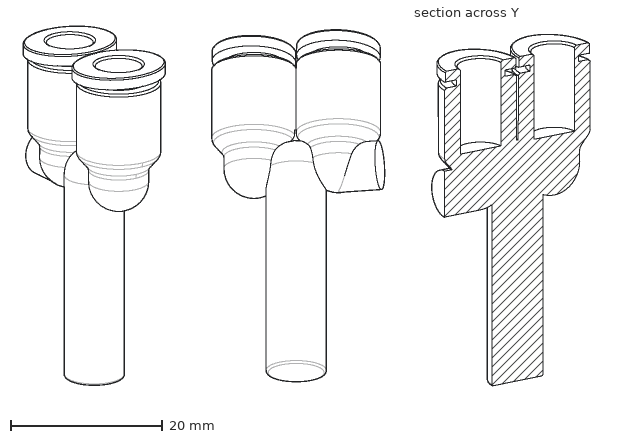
import cadquery as cq

socket_offset = 5.7
stem_radius = 4.0
stem_length = 28.25
stem_tip_round = 0.3

collar_top_z = 17.2
collar_height = 1.55
sleeve_height = 0.8
collar_bottom_z = collar_top_z - collar_height
body_top_z = collar_bottom_z - sleeve_height
body_bottom_z = 4.6
cone_height = 1.9
body_radius = 5.6
body_top_chamfer = 0.3
body_bottom_round = 1.0
neck_radius = 4.0
neck_top_z = body_bottom_z - cone_height
neck_top_round = 1.0
edge_search_margin = 0.1

plug_radius = 3.25
plug_length = body_radius

dome_center_z = neck_radius - plug_radius

web_thickness = 1.0
web_top_z = 5.55

collar_size_x = 11.0
collar_size_y = 13.0
collar_chamfer = 0.2
collar_sleeve_radius = 3.8
bore_radius = 3.1
bore_chamfer = 0.3
bore_depth = 12.0


def round_ring_edge(body, ring_z, round_radius):
    """Round the full circular edge of a turned body that lies at height ring_z."""
    slab = cq.selectors.BoxSelector(
        (-body_radius, -body_radius, ring_z - edge_search_margin),
        (body_radius, body_radius, ring_z + edge_search_margin),
    )
    return body.edges(slab).fillet(round_radius)


def make_body():
    """Socket body, cone and domed neck as one turned shape about Z."""
    profile = (
        cq.Workplane("XZ")
        .moveTo(0, dome_center_z - neck_radius)
        .radiusArc((neck_radius, dome_center_z), -neck_radius)
        .lineTo(neck_radius, neck_top_z)
        .lineTo(body_radius, body_bottom_z)
        .lineTo(body_radius, body_top_z - body_top_chamfer)
        .lineTo(body_radius - body_top_chamfer, body_top_z)
        .lineTo(0, body_top_z)
        .close()
    )
    body = profile.revolve(360, (0, 0, 0), (0, 1, 0))
    body = round_ring_edge(body, body_bottom_z, body_bottom_round)
    return round_ring_edge(body, neck_top_z, neck_top_round)


def make_collar():
    """Oval release collar standing on its round sleeve."""
    flange = (
        cq.Workplane("XY")
        .workplane(offset=collar_bottom_z)
        .ellipse(collar_size_x / 2, collar_size_y / 2)
        .extrude(collar_height)
        .faces(">Z").edges().chamfer(collar_chamfer)
    )
    sleeve = (
        cq.Workplane("XY")
        .workplane(offset=body_top_z)
        .circle(collar_sleeve_radius)
        .extrude(sleeve_height)
    )
    return flange.union(sleeve)


def make_bore():
    """Blind tube bore with a chamfered mouth, as a cutting shape."""
    return (
        cq.Workplane("XZ")
        .moveTo(0, collar_top_z - bore_depth)
        .lineTo(bore_radius, collar_top_z - bore_depth)
        .lineTo(bore_radius, collar_top_z - bore_chamfer)
        .lineTo(bore_radius + bore_chamfer, collar_top_z)
        .lineTo(0, collar_top_z)
        .close()
        .revolve(360, (0, 0, 0), (0, 1, 0))
    )


def make_socket():
    """One unbored socket: body with its release collar."""
    return make_body().union(make_collar())


def make_stem():
    """Plug-in stem with a rounded tip and a spherical top."""
    shaft = (
        cq.Workplane("XY")
        .circle(stem_radius)
        .extrude(-stem_length)
        .faces("<Z").edges().fillet(stem_tip_round)
    )
    return shaft.union(cq.Workplane("XY").sphere(stem_radius))


def make_plug():
    """Round side plug running from the left socket axis out to its flat end."""
    return (
        cq.Workplane("YZ")
        .workplane(offset=-socket_offset)
        .circle(plug_radius)
        .extrude(-plug_length)
    )


def make_web():
    """Thin upright web joining the two socket bodies and the stem top."""
    return cq.Workplane("XY").box(
        2 * socket_offset, web_thickness, web_top_z, centered=(True, True, False)
    )


def make_sockets():
    """Both sockets, still without their bores."""
    left = make_socket().translate((-socket_offset, 0, 0)).union(make_plug())
    right = make_socket().translate((socket_offset, 0, 0))
    return left.union(right)


result = make_sockets().union(make_web()).union(make_stem())
for side in (-1, 1):
    result = result.cut(make_bore().translate((side * socket_offset, 0, 0)))